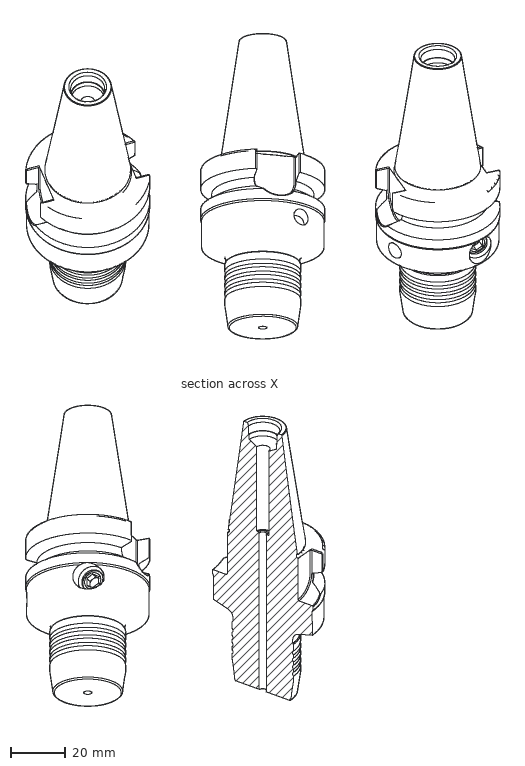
import cadquery as cq
import math

TOTAL_HEIGHT = 112.4
FLANGE_RADIUS = 22.99

NOSE_RADIUS = 14.0
NOSE_TIP_RADIUS = 12.9
NOSE_TIP_CHAMFER = 0.6
NOSE_TAPER_TOP = 8.7
NOSE_TOP = 25.1
NOSE_TOP_CHAMFER = 0.3
NECK_RADIUS = NOSE_RADIUS - NOSE_TOP_CHAMFER
NECK_FILLET = 3.0
NECK_CONE_HEIGHT = 28.9

GROOVE_COUNT = 4
GROOVE_PITCH = 3.0
GROOVE_WIDTH = 1.7
GROOVE_DEPTH = 0.3
FIRST_GROOVE_HEIGHT = 11.9

DRUM_DIAMETER = 45.3
DRUM_RADIUS = DRUM_DIAMETER / 2
DRUM_BOTTOM = 31.4
DRUM_BOTTOM_FILLET = 0.5
DRUM_TOP = 41.7
DRUM_CHAMFER_TOP = 42.4

LOWER_RIM_TOP = 46.3
V_GROOVE_RADIUS = 18.9
V_GROOVE_BOTTOM = 48.9
V_GROOVE_TOP = 52.3
UPPER_RIM_BOTTOM = 54.3
FLANGE_TOP = 62.2
FLANGE_TOP_FILLET = 0.9

GAUGE_RADIUS = 15.8
GAUGE_HEIGHT = 64.0
TAPER_RATIO = 7 / 24
SHANK_TOP_RADIUS = GAUGE_RADIUS - (TOTAL_HEIGHT - GAUGE_HEIGHT) * TAPER_RATIO / 2
SHANK_TOP_CHAMFER = 0.2
RELIEF_RADIUS = 15.4
RELIEF_TOP = 63.6
RELIEF_FILLET = 0.8

BORE_MOUTH_RADIUS = 7.0
BORE_RADIUS = 6.3
BORE_MOUTH_DEPTH = 1.2
BORE_DEPTH = 4.8
BORE_FLOOR_RADIUS = 6.1
BORE_FLOOR_DEPTH = 7.0
DRILL_TIP_ANGLE = 118.0
COOLANT_RADIUS = 2.7
COOLANT_DEPTH = 45.0
OUTLET_MOUTH_RADIUS = 1.9
OUTLET_RADIUS = 1.52

KEYWAY_WIDTH = 16.1
KEYWAY_FLOOR = 16.1
KEYWAY_BOTTOM = 44.2
KEYWAY_FLOOR_CHAMFER = 0.5
KEYWAY_END_BREAK = 0.3
EDGE_BREAK_WIDTH = 0.6
EDGE_BREAK_DEPTH = 0.2

SIDE_HOLE_HEIGHT = 37.1
SIDE_HOLE_OFFSET = 9.0
SCREW_HOLE_RADIUS = 5.23
SCREW_CONE_START = 17.3
SCREW_CONE_END = 16.3
SCREW_FACE = 16.0
SCREW_RADIUS = 4.22
SCREW_TIP_RADIUS = 3.3
SCREW_TIP_LENGTH = 0.6
SCREW_LENGTH = 11.2
HEX_ACROSS_FLATS = 4.7
HEX_DEPTH = 2.8
BLEED_HOLE_RADIUS = 3.0
BLEED_HOLE_FLOOR = 13.5


def ring(body, radius, height):
    """The body with its circular edge of this radius at this height selected."""
    gap = 0.01
    edges = [
        edge
        for edge in body.edges("%CIRCLE").vals()
        if abs(edge.radius() - radius) < gap and abs(edge.Center().z - height) < gap
    ]
    return body.newObject(edges)


def blank():
    """Turned outside of the housing."""
    profile = (
        cq.Workplane("XZ")
        .moveTo(0, 0)
        .lineTo(NOSE_TIP_RADIUS - NOSE_TIP_CHAMFER, 0)
        .lineTo(NOSE_TIP_RADIUS, NOSE_TIP_CHAMFER)
        .lineTo(NOSE_RADIUS, NOSE_TAPER_TOP)
        .lineTo(NOSE_RADIUS, NOSE_TOP - NOSE_TOP_CHAMFER)
        .lineTo(NECK_RADIUS, NOSE_TOP)
        .lineTo(NECK_RADIUS, NECK_CONE_HEIGHT)
        .lineTo(DRUM_RADIUS, DRUM_BOTTOM)
        .lineTo(DRUM_RADIUS, DRUM_TOP)
        .lineTo(FLANGE_RADIUS, DRUM_CHAMFER_TOP)
        .lineTo(FLANGE_RADIUS, LOWER_RIM_TOP)
        .lineTo(V_GROOVE_RADIUS, V_GROOVE_BOTTOM)
        .lineTo(V_GROOVE_RADIUS, V_GROOVE_TOP)
        .lineTo(FLANGE_RADIUS, UPPER_RIM_BOTTOM)
        .lineTo(FLANGE_RADIUS, FLANGE_TOP)
        .lineTo(RELIEF_RADIUS, FLANGE_TOP)
        .lineTo(RELIEF_RADIUS, RELIEF_TOP)
        .lineTo(GAUGE_RADIUS, RELIEF_TOP)
        .lineTo(GAUGE_RADIUS, GAUGE_HEIGHT)
        .lineTo(SHANK_TOP_RADIUS, TOTAL_HEIGHT)
        .lineTo(0, TOTAL_HEIGHT)
        .close()
    )
    body = profile.revolve(360, (0, 0, 0), (0, 1, 0))
    body = ring(body, NECK_RADIUS, NECK_CONE_HEIGHT).fillet(NECK_FILLET)
    body = ring(body, DRUM_RADIUS, DRUM_BOTTOM).fillet(DRUM_BOTTOM_FILLET)
    body = ring(body, FLANGE_RADIUS, FLANGE_TOP).fillet(FLANGE_TOP_FILLET)
    body = ring(body, RELIEF_RADIUS, FLANGE_TOP).fillet(RELIEF_FILLET)
    return ring(body, SHANK_TOP_RADIUS, TOTAL_HEIGHT).chamfer(SHANK_TOP_CHAMFER)


def nose_groove(height):
    """Shallow arc groove around the nose, centred at this height."""
    half = GROOVE_WIDTH / 2
    return (
        cq.Workplane("XZ")
        .moveTo(NOSE_RADIUS, height - half)
        .threePointArc((NOSE_RADIUS - GROOVE_DEPTH, height), (NOSE_RADIUS, height + half))
        .close()
        .revolve(360, (0, 0, 0), (0, 1, 0))
    )


def central_bore():
    """Stepped bore from the shank end, narrowing to a coolant outlet through the nose."""
    tip_slope = math.tan(math.radians(90 - DRILL_TIP_ANGLE / 2))
    tip_depth = BORE_FLOOR_DEPTH + (BORE_FLOOR_RADIUS - COOLANT_RADIUS) * tip_slope
    steps = [
        (0, 0),
        (BORE_MOUTH_RADIUS, 0),
        (BORE_RADIUS, BORE_MOUTH_DEPTH),
        (BORE_RADIUS, BORE_DEPTH),
        (BORE_FLOOR_RADIUS, BORE_DEPTH),
        (BORE_FLOOR_RADIUS, BORE_FLOOR_DEPTH),
        (COOLANT_RADIUS, tip_depth),
        (COOLANT_RADIUS, COOLANT_DEPTH),
        (OUTLET_MOUTH_RADIUS, COOLANT_DEPTH),
        (OUTLET_RADIUS, COOLANT_DEPTH + OUTLET_MOUTH_RADIUS - OUTLET_RADIUS),
        (OUTLET_RADIUS, TOTAL_HEIGHT),
        (0, TOTAL_HEIGHT),
    ]
    points = [(radius, TOTAL_HEIGHT - depth) for radius, depth in steps]
    return cq.Workplane("XZ").polyline(points).close().revolve(360, (0, 0, 0), (0, 1, 0))


def keyway():
    """Round-ended slot on the -Y side, with a bevel all around its floor."""
    depth = FLANGE_RADIUS - KEYWAY_FLOOR
    half = KEYWAY_WIDTH / 2
    arc_center = KEYWAY_BOTTOM + half
    return (
        cq.Workplane("XZ", origin=(0, -KEYWAY_FLOOR, 0))
        .moveTo(-half, TOTAL_HEIGHT)
        .lineTo(-half, arc_center)
        .threePointArc((0, KEYWAY_BOTTOM), (half, arc_center))
        .lineTo(half, TOTAL_HEIGHT)
        .close()
        .extrude(depth)
        .faces(">Y")
        .chamfer(KEYWAY_FLOOR_CHAMFER)
        .intersect(cq.Workplane("XY").box(TOTAL_HEIGHT, TOTAL_HEIGHT, 2 * FLANGE_TOP))
    )


def keyway_edge_breaks():
    """Bevels where the keyway walls meet the flange top and the upper rim, on the -Y side."""
    half = KEYWAY_WIDTH / 2
    wide_half = half + EDGE_BREAK_WIDTH
    rim_edge = math.sqrt(FLANGE_RADIUS**2 - wide_half**2)
    rim = (
        cq.Workplane("XY", origin=(0, 0, V_GROOVE_TOP))
        .moveTo(-half, EDGE_BREAK_DEPTH - rim_edge)
        .lineTo(-wide_half, -rim_edge)
        .lineTo(-wide_half, -FLANGE_RADIUS)
        .lineTo(wide_half, -FLANGE_RADIUS)
        .lineTo(wide_half, -rim_edge)
        .lineTo(half, EDGE_BREAK_DEPTH - rim_edge)
        .close()
        .extrude(FLANGE_TOP - V_GROOVE_TOP)
    )
    top = (
        cq.Workplane("XZ", origin=(0, -KEYWAY_FLOOR, 0))
        .moveTo(-half, FLANGE_TOP - EDGE_BREAK_DEPTH)
        .lineTo(-wide_half, FLANGE_TOP)
        .lineTo(wide_half, FLANGE_TOP)
        .lineTo(half, FLANGE_TOP - EDGE_BREAK_DEPTH)
        .close()
        .extrude(FLANGE_RADIUS - KEYWAY_FLOOR)
    )
    return rim.union(top)


def break_keyway_ends(body):
    """Bevel the curved edges where the round keyway ends run out through the lower rim."""
    half = KEYWAY_WIDTH / 2
    wall_foot = math.sqrt(FLANGE_RADIUS**2 - half**2)
    for side in (-1, 1):
        near = (-half, side * wall_foot, DRUM_CHAMFER_TOP)
        far = (half, side * (FLANGE_RADIUS + 1.1), LOWER_RIM_TOP)
        body = body.edges(cq.selectors.BoxSelector(near, far)).chamfer(KEYWAY_END_BREAK)
    return body


def turned_along_x(points):
    """Solid turned about the clamping screw's axis from (x, radius) points."""
    axis_frame = cq.Workplane("XY", origin=(0, -SIDE_HOLE_OFFSET, SIDE_HOLE_HEIGHT))
    return axis_frame.polyline(points).close().revolve(360, (0, 0, 0), (1, 0, 0))


def screw_hole():
    """Hole from the -X side that narrows through a cone to the clamping screw's radius."""
    return turned_along_x(
        [
            (-FLANGE_RADIUS, 0),
            (-FLANGE_RADIUS, SCREW_HOLE_RADIUS),
            (-SCREW_CONE_START, SCREW_HOLE_RADIUS),
            (-SCREW_CONE_END, SCREW_RADIUS),
            (SCREW_LENGTH - SCREW_FACE, SCREW_RADIUS),
            (SCREW_LENGTH - SCREW_FACE, 0),
        ]
    )


def make_clamping_screw():
    """Set screw with a bevelled outer end and a hexagon socket that ends in a cone."""
    shank = turned_along_x(
        [
            (-SCREW_FACE, 0),
            (-SCREW_FACE, SCREW_TIP_RADIUS),
            (SCREW_TIP_LENGTH - SCREW_FACE, SCREW_RADIUS),
            (SCREW_LENGTH - SCREW_FACE, SCREW_RADIUS),
            (SCREW_LENGTH - SCREW_FACE, 0),
        ]
    )
    corner_radius = HEX_ACROSS_FLATS / math.sqrt(3)
    hexagon = (
        cq.Workplane("YZ", origin=(-SCREW_FACE, -SIDE_HOLE_OFFSET, SIDE_HOLE_HEIGHT))
        .transformed(rotate=(0, 0, 90))
        .polygon(6, 2 * corner_radius)
        .extrude(HEX_DEPTH)
    )
    hex_floor = HEX_DEPTH - SCREW_FACE
    tip_length = corner_radius / math.tan(math.radians(DRILL_TIP_ANGLE / 2))
    socket_cone = turned_along_x(
        [(hex_floor, 0), (hex_floor, HEX_ACROSS_FLATS / 2), (hex_floor + tip_length, 0)]
    )
    return shank.cut(hexagon).cut(socket_cone)


def bleed_hole():
    """Blind hole from the +Y side."""
    return (
        cq.Workplane("XZ", origin=(-SIDE_HOLE_OFFSET, BLEED_HOLE_FLOOR, SIDE_HOLE_HEIGHT))
        .circle(BLEED_HOLE_RADIUS)
        .extrude(-FLANGE_RADIUS)
    )


def make_housing():
    body = blank()
    for index in range(GROOVE_COUNT):
        body = body.cut(nose_groove(FIRST_GROOVE_HEIGHT + index * GROOVE_PITCH))
    body = body.cut(central_bore())
    for turn in (0, 180):
        for cutter in (keyway(), keyway_edge_breaks()):
            body = body.cut(cutter.rotate((0, 0, 0), (0, 0, 1), turn))
    body = break_keyway_ends(body)
    return body.cut(screw_hole()).cut(bleed_hole())


housing = make_housing()
clamping_screw = make_clamping_screw()
result = cq.Compound.makeCompound([housing.val(), clamping_screw.val()])